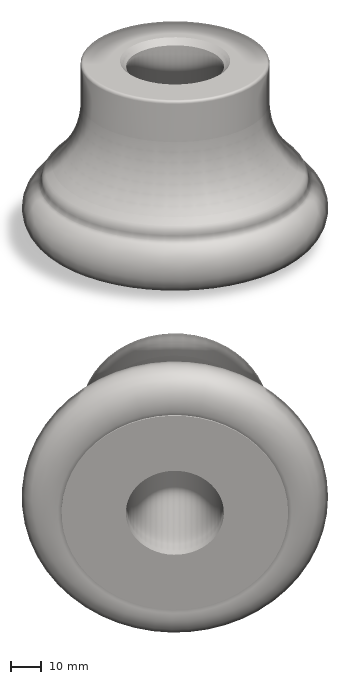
import cadquery as cq
import math

HEIGHT = 63.0
OUTER_RADIUS = 50.0

RING_SECTION_RADIUS = 10.0
RING_CENTER_RADIUS = OUTER_RADIUS - RING_SECTION_RADIUS
RING_CENTER_Z = RING_SECTION_RADIUS

NECK_RADIUS = 61.7 / 2
NECK_EDGE_FILLET = 1.0
BORE_RADIUS = 32.0 / 2
BORE_CHAMFER = 2.0

FLARE_RADIUS = 32.0
CONE_ANGLE = math.radians(45)

SHOULDER_RADIUS = 43.6
SHOULDER_Z = 20.6
SHOULDER_FILLET = 4.0
SKIRT_Z = 19.0

FOOT_RADIUS = 37.0


def ring_half_width(offset):
    """Half chord of the ring's round section at an offset from its centre."""
    return math.sqrt(RING_SECTION_RADIUS**2 - offset**2)


def point_on_circle(center, radius, angle):
    """Point on a circle in the radius-height plane."""
    return center[0] + radius * math.cos(angle), center[1] + radius * math.sin(angle)


def make_body():
    groove_start = (FOOT_RADIUS, RING_CENTER_Z - ring_half_width(FOOT_RADIUS - RING_CENTER_RADIUS))
    groove_middle = (RING_CENTER_RADIUS - RING_SECTION_RADIUS, RING_CENTER_Z)
    groove_end = (RING_CENTER_RADIUS + ring_half_width(SKIRT_Z - RING_CENTER_Z), SKIRT_Z)

    shoulder_center = (SHOULDER_RADIUS - SHOULDER_FILLET, SHOULDER_Z)
    shoulder_middle = point_on_circle(shoulder_center, SHOULDER_FILLET, CONE_ANGLE / 2)
    cone_bottom = point_on_circle(shoulder_center, SHOULDER_FILLET, CONE_ANGLE)

    flare_center_r = NECK_RADIUS + FLARE_RADIUS
    cone_top_r = flare_center_r - FLARE_RADIUS * math.cos(CONE_ANGLE)
    cone_top_z = cone_bottom[1] + (cone_bottom[0] - cone_top_r) / math.tan(CONE_ANGLE)
    neck_bottom_z = cone_top_z + FLARE_RADIUS * math.sin(CONE_ANGLE)
    flare_center = (flare_center_r, neck_bottom_z)
    flare_middle = point_on_circle(flare_center, FLARE_RADIUS, math.pi + CONE_ANGLE / 2)

    skirt_spread = groove_end[0] - SHOULDER_RADIUS
    skirt_drop = SHOULDER_Z - SKIRT_Z
    skirt_radius = (skirt_spread**2 + skirt_drop**2) / (2 * skirt_spread)
    skirt_angle = math.asin(skirt_drop / skirt_radius)
    skirt_center = (SHOULDER_RADIUS + skirt_radius, SHOULDER_Z)
    skirt_middle = point_on_circle(skirt_center, skirt_radius, math.pi + skirt_angle / 2)

    profile = (
        cq.Workplane("XZ")
        .moveTo(BORE_RADIUS, 0)
        .lineTo(FOOT_RADIUS, 0)
        .lineTo(*groove_start)
        .threePointArc(groove_middle, groove_end)
        .threePointArc(skirt_middle, (SHOULDER_RADIUS, SHOULDER_Z))
        .threePointArc(shoulder_middle, cone_bottom)
        .lineTo(cone_top_r, cone_top_z)
        .threePointArc(flare_middle, (NECK_RADIUS, neck_bottom_z))
        .lineTo(NECK_RADIUS, HEIGHT - NECK_EDGE_FILLET)
        .radiusArc((NECK_RADIUS - NECK_EDGE_FILLET, HEIGHT), -NECK_EDGE_FILLET)
        .lineTo(BORE_RADIUS + BORE_CHAMFER, HEIGHT)
        .lineTo(BORE_RADIUS, HEIGHT - BORE_CHAMFER)
        .close()
    )
    return profile.revolve(360, (0, 0, 0), (0, 1, 0))


def make_ring():
    section = cq.Workplane("XZ").center(RING_CENTER_RADIUS, RING_CENTER_Z).circle(RING_SECTION_RADIUS)
    return section.revolve(360, (-RING_CENTER_RADIUS, 0, 0), (-RING_CENTER_RADIUS, 1, 0))


body = make_body()
ring = make_ring()
result = cq.Compound.makeCompound([body.val(), ring.val()])